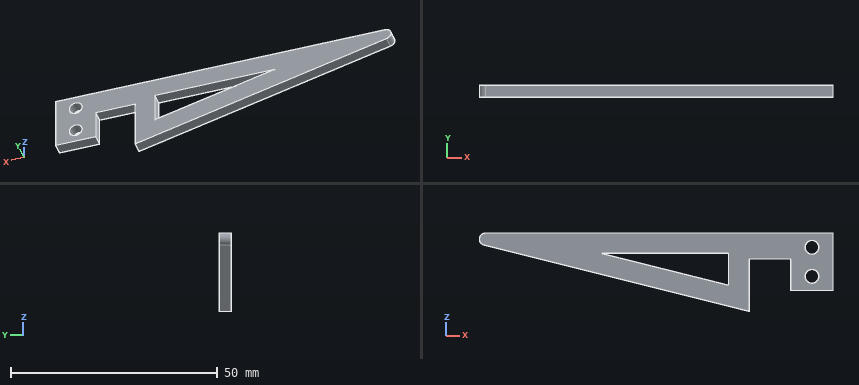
import cadquery as cq
import math

length = 85.8
thickness = 3.0
height = 19.05

tip_radius = thickness / 2

tab_width = 10.3
tab_height = 14.0
notch_width = 10.05
notch_depth = 6.35
heel_x = length - tab_width - notch_width

window_right = heel_x - 5.1
window_left = 29.8
window_top = -5.0

hole_diameter = 3.3
hole_x = length - tab_width / 2
hole_spacing = 7.0

heel_run = heel_x - tip_radius
heel_drop = height - tip_radius
centre_to_heel = math.hypot(heel_run, heel_drop)
slope_angle = math.atan2(heel_drop, heel_run) - math.asin(tip_radius / centre_to_heel)
tangent_x = tip_radius - tip_radius * math.sin(slope_angle)
tangent_z = -tip_radius - tip_radius * math.cos(slope_angle)

window_bottom = window_top - math.tan(slope_angle) * (window_right - window_left)


plate = (
    cq.Workplane("XZ")
    .moveTo(tip_radius, 0)
    .lineTo(length, 0)
    .lineTo(length, -tab_height)
    .lineTo(length - tab_width, -tab_height)
    .lineTo(length - tab_width, -notch_depth)
    .lineTo(heel_x, -notch_depth)
    .lineTo(heel_x, -height)
    .lineTo(tangent_x, tangent_z)
    .threePointArc((0, -tip_radius), (tip_radius, 0))
    .close()
    .extrude(-thickness)
)

window = (
    cq.Workplane("XZ")
    .moveTo(window_left, window_top)
    .lineTo(window_right, window_top)
    .lineTo(window_right, window_bottom)
    .close()
    .extrude(-thickness)
)

holes = (
    cq.Workplane("XZ")
    .pushPoints([
        (hole_x, -tab_height / 2 + hole_spacing / 2),
        (hole_x, -tab_height / 2 - hole_spacing / 2),
    ])
    .circle(hole_diameter / 2)
    .extrude(-thickness)
)

result = plate.cut(window).cut(holes)